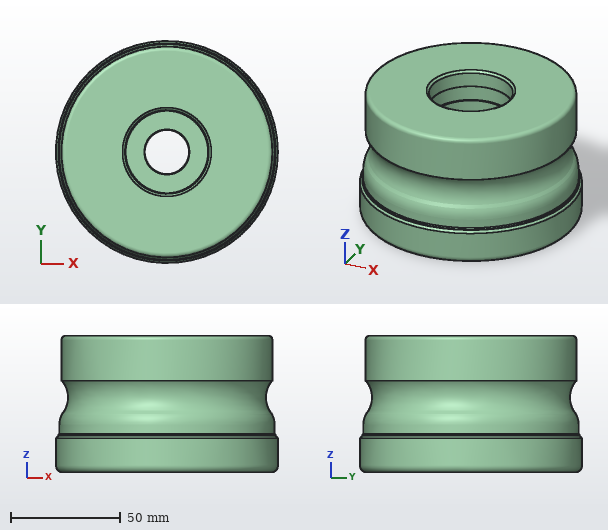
import cadquery as cq
import math

base_radius = 50.8
base_height = 17.7
bottom_fillet = 3.1
rim_chamfer_height = 1.2
rim_chamfer_width = 1.0
lip_land = 0.3
collar_height = 0.6
centre_hole_radius = 10.1
hole_chamfer = 0.3

total_height = 62.6
head_radius = 48.3
head_bottom = 42.0
head_fillet = 2.0
skirt_radius = 49.3
skirt_top = 21.8

waist_radius = 45.3
waist_height = 34.2
waist_arc_radius = 12.0
shoulder_arc_radius = 10.0
flank_angle = math.radians(30)

mouth_radius = 20.3
mouth_chamfer_depth = 1.1
mouth_bore_radius = 19.2
middle_bore_radius = 19.1
lower_bore_radius = 18.8
middle_bore_depth = 7.9
lower_bore_depth = 14.8
step_chamfer = middle_bore_radius - lower_bore_radius


def waist_point(angle):
    """Point on the waist arc at an angle above the narrowest level."""
    return (
        waist_radius + waist_arc_radius * (1 - math.cos(angle)),
        waist_height + waist_arc_radius * math.sin(angle),
    )


def shoulder_point(angle):
    """Point on the shoulder arc at an angle above the top of the skirt."""
    return (
        skirt_radius - shoulder_arc_radius * (1 - math.cos(angle)),
        skirt_top + shoulder_arc_radius * math.sin(angle),
    )


def revolve_profile(profile):
    """Turn a closed radius-height profile about the Z axis."""
    return profile.close().revolve(360, (0, 0, 0), (0, 1, 0))


def make_base():
    lip_radius = base_radius - rim_chamfer_width
    collar_bottom = base_height - collar_height
    lip_bottom = collar_bottom - lip_land
    fillet_centre = (base_radius - bottom_fillet, bottom_fillet)
    fillet_middle = (
        fillet_centre[0] + bottom_fillet * math.sin(math.pi / 4),
        fillet_centre[1] - bottom_fillet * math.sin(math.pi / 4),
    )
    profile = (
        cq.Workplane("XZ")
        .moveTo(centre_hole_radius, 0)
        .lineTo(fillet_centre[0], 0)
        .threePointArc(fillet_middle, (base_radius, bottom_fillet))
        .lineTo(base_radius, lip_bottom - rim_chamfer_height)
        .lineTo(lip_radius, lip_bottom)
        .lineTo(lip_radius, collar_bottom)
        .lineTo(skirt_radius, base_height)
        .lineTo(centre_hole_radius + hole_chamfer, base_height)
        .lineTo(centre_hole_radius, base_height - hole_chamfer)
    )
    return revolve_profile(profile)


def make_upper_body():
    waist_top_angle = math.asin((head_bottom - waist_height) / waist_arc_radius)
    fillet_middle = (
        head_radius - head_fillet * (1 - math.cos(math.pi / 4)),
        total_height - head_fillet * (1 - math.sin(math.pi / 4)),
    )
    middle_bore_top = total_height - middle_bore_depth
    lower_bore_top = total_height - lower_bore_depth
    profile = (
        cq.Workplane("XZ")
        .moveTo(lower_bore_radius, base_height)
        .lineTo(skirt_radius, base_height)
        .lineTo(skirt_radius, skirt_top)
        .threePointArc(shoulder_point(flank_angle / 2), shoulder_point(flank_angle))
        .lineTo(*waist_point(-flank_angle))
        .threePointArc(waist_point(0), waist_point(waist_top_angle))
        .lineTo(head_radius, head_bottom)
        .lineTo(head_radius, total_height - head_fillet)
        .threePointArc(fillet_middle, (head_radius - head_fillet, total_height))
        .lineTo(mouth_radius, total_height)
        .lineTo(mouth_bore_radius, total_height - mouth_chamfer_depth)
        .lineTo(mouth_bore_radius, middle_bore_top)
        .lineTo(middle_bore_radius, middle_bore_top)
        .lineTo(middle_bore_radius, lower_bore_top)
        .lineTo(lower_bore_radius, lower_bore_top - step_chamfer)
    )
    return revolve_profile(profile)


base = make_base()
upper_body = make_upper_body()

result = cq.Compound.makeCompound([base.val(), upper_body.val()])